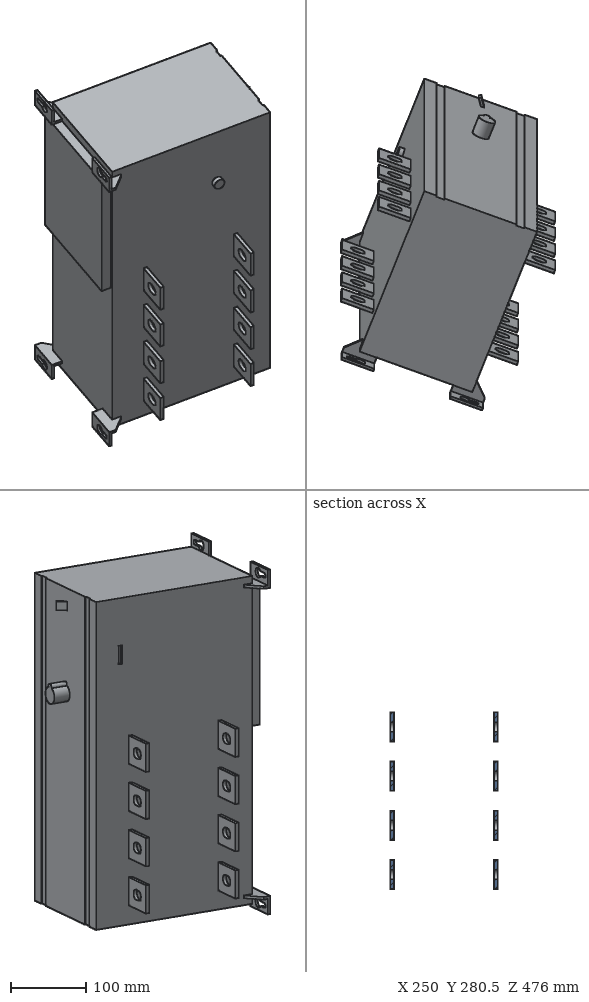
import cadquery as cq
import math

OVERALL_WIDTH = 250.0
OVERALL_DEPTH = 280.5
OVERALL_HEIGHT = 476.0

BODY_WIDTH = 160.0
BODY_HEIGHT = 453.0
BODY_FRONT = 15.5
BODY_BACK = 256.5
BACK_GROOVE_WIDTH = 11.5
BACK_GROOVE_DEPTH = 1.65
BACK_GROOVE_X = 56.5

FOOT_OUTER_X = 100.0
FOOT_INNER_X = 54.5
FOOT_HEIGHT = 25.0
FOOT_THICKNESS = 4.0
FOOT_SIDE_DEPTH = 10.0
FOOT_LEG_DEPTH = 29.0
KEYHOLE_X = 74.3
KEYHOLE_DIAMETER = 13.5
KEYHOLE_EDGE_DISTANCE = 10.0
KEYHOLE_SLOT_HEIGHT = 6.5
KEYHOLE_SLOT_END_X = 93.5

COVER_WIDTH = 152.5
COVER_FRONT = 2.0
COVER_TOP = OVERALL_HEIGHT / 2 - FOOT_HEIGHT
COVER_BOTTOM = 18.0

TERMINAL_COUNT = 4
TERMINAL_PITCH = 65.0
TOP_TERMINAL_Z = 15.0
TERMINAL_HEIGHT = 39.0
TERMINAL_THICKNESS = 5.0
TERMINAL_ROWS_Y = (66.0, 203.5)
TERMINAL_HOLE_X = 102.5
TERMINAL_HOLE_LENGTH = 19.5
TERMINAL_HOLE_HEIGHT = 14.0

SHAFT_DIAMETER = 23.5
SHAFT_Z = 81.0
KEY_DIAMETER = 8.5
KEY_Z = SHAFT_Z + SHAFT_DIAMETER / 2

LUG_LENGTH = 12.0
LUG_THICKNESS = 4.0
LUG_HEIGHT = 12.0
LUG_Z = 202.0
LUG_ROOT_X = -2.5
LUG_TILT = 35.0

PIN_DIAMETER = 15.0
PIN_LENGTH = 6.5
PIN_Y = 175.5
PIN_Z = 139.5

SIDE_SLOT_WIDTH = 5.5
SIDE_SLOT_HEIGHT = 25.5
SIDE_SLOT_DEPTH = 4.8
SIDE_SLOT_Y = 219.0
SIDE_SLOT_Z = 148.0


def block(x_range, y_range, z_range):
    """Box spanning the given (low, high) range on each axis."""
    sizes = [high - low for low, high in (x_range, y_range, z_range)]
    corner = (x_range[0], y_range[0], z_range[0])
    return cq.Workplane("XY").box(*sizes, centered=False).translate(corner)


def centred(middle, size):
    """(low, high) range of the given size about its middle."""
    return (middle - size / 2, middle + size / 2)


def plane_at_y(y):
    """Workplane facing +Y; its local x runs along -X and its local y along +Z."""
    return cq.Workplane(cq.Plane(origin=(0, y, 0), xDir=(-1, 0, 0), normal=(0, 1, 0)))


def make_body():
    body = block(centred(0, BODY_WIDTH), (BODY_FRONT, BODY_BACK), centred(0, BODY_HEIGHT))
    for side in (-1, 1):
        groove = block(
            centred(side * BACK_GROOVE_X, BACK_GROOVE_WIDTH),
            (BODY_BACK - BACK_GROOVE_DEPTH, BODY_BACK),
            centred(0, BODY_HEIGHT),
        )
        body = body.cut(groove)
    side_slot = block(
        (-BODY_WIDTH / 2, -BODY_WIDTH / 2 + SIDE_SLOT_DEPTH),
        centred(SIDE_SLOT_Y, SIDE_SLOT_WIDTH),
        centred(SIDE_SLOT_Z, SIDE_SLOT_HEIGHT),
    )
    return body.cut(side_slot)


def make_cover():
    return block(centred(0, COVER_WIDTH), (COVER_FRONT, BODY_FRONT), (COVER_BOTTOM, COVER_TOP))


def make_top_right_foot():
    """Angle bracket: an upright plate with a keyhole, and a leg running back into the body."""
    foot_top = OVERALL_HEIGHT / 2
    foot_bottom = foot_top - FOOT_HEIGHT
    plate = block((FOOT_INNER_X, FOOT_OUTER_X), (0, FOOT_THICKNESS), (foot_bottom, foot_top))

    keyhole_z = foot_top - KEYHOLE_EDGE_DISTANCE
    round_hole = (
        plane_at_y(0).center(-KEYHOLE_X, keyhole_z).circle(KEYHOLE_DIAMETER / 2).extrude(FOOT_THICKNESS)
    )
    slot_radius = KEYHOLE_SLOT_HEIGHT / 2
    slot_length = KEYHOLE_SLOT_END_X - KEYHOLE_X + slot_radius
    slot_x = KEYHOLE_SLOT_END_X - slot_length / 2
    slot = (
        plane_at_y(0).center(-slot_x, keyhole_z)
        .slot2D(slot_length, KEYHOLE_SLOT_HEIGHT).extrude(FOOT_THICKNESS)
    )

    slant_end_x = FOOT_OUTER_X - (FOOT_LEG_DEPTH - FOOT_SIDE_DEPTH)
    leg = (
        cq.Workplane("XY").workplane(offset=foot_bottom)
        .moveTo(FOOT_INNER_X, 0)
        .lineTo(FOOT_OUTER_X, 0)
        .lineTo(FOOT_OUTER_X, FOOT_SIDE_DEPTH)
        .lineTo(slant_end_x, FOOT_LEG_DEPTH)
        .lineTo(FOOT_INNER_X, FOOT_LEG_DEPTH)
        .close()
        .extrude(FOOT_THICKNESS)
    )
    return plate.union(leg).cut(round_hole).cut(slot)


def make_feet():
    right = make_top_right_foot()
    top_pair = right.union(right.mirror("YZ"))
    return top_pair.union(top_pair.mirror("XY"))


def make_terminals():
    """Rows of flat bars that pass through the body and show on both sides."""
    bars = cq.Workplane("XY")
    for row_y in TERMINAL_ROWS_Y:
        y_range = centred(row_y, TERMINAL_THICKNESS)
        for index in range(TERMINAL_COUNT):
            z = TOP_TERMINAL_Z - index * TERMINAL_PITCH
            bar = block(centred(0, OVERALL_WIDTH), y_range, centred(z, TERMINAL_HEIGHT))
            holes = (
                plane_at_y(y_range[0])
                .pushPoints([(-TERMINAL_HOLE_X, z), (TERMINAL_HOLE_X, z)])
                .slot2D(TERMINAL_HOLE_LENGTH, TERMINAL_HOLE_HEIGHT)
                .extrude(TERMINAL_THICKNESS)
            )
            bars = bars.add(bar.cut(holes))
    return bars.combine()


def make_shaft():
    length = OVERALL_DEPTH - BODY_BACK
    shaft = plane_at_y(BODY_BACK).center(0, SHAFT_Z).circle(SHAFT_DIAMETER / 2).extrude(length)
    key = plane_at_y(BODY_BACK).center(0, KEY_Z).circle(KEY_DIAMETER / 2).extrude(length)
    return shaft.union(key)


def make_lug():
    """Upright plate leaning towards +X; its root is sunk into the body."""
    tilt = math.radians(LUG_TILT)
    reach = LUG_LENGTH - LUG_THICKNESS / 2 * math.sin(tilt)
    tip = reach / math.cos(tilt)
    plate = block(centred(0, LUG_THICKNESS), (-LUG_THICKNESS, tip), centred(LUG_Z, LUG_HEIGHT))
    return plate.rotate((0, 0, 0), (0, 0, 1), -LUG_TILT).translate((LUG_ROOT_X, BODY_BACK, 0))


def make_pin():
    side = cq.Workplane("YZ", origin=(BODY_WIDTH / 2, PIN_Y, PIN_Z))
    return side.circle(PIN_DIAMETER / 2).extrude(PIN_LENGTH)


result = make_body()
for feature in (make_cover(), make_feet(), make_terminals(), make_shaft(), make_lug(), make_pin()):
    result = result.union(feature)